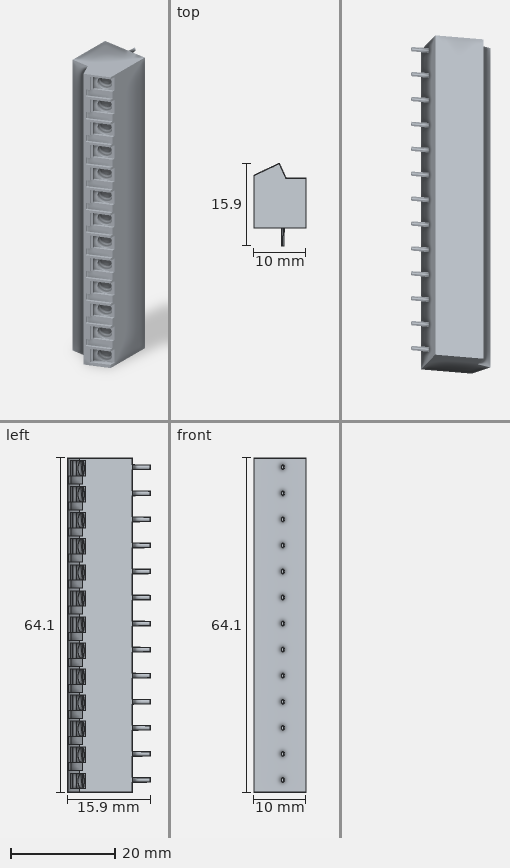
import cadquery as cq
import math

LENGTH = 64.1
WIDTH = 10.0
BODY_DEPTH = 12.45

SLOPE_START = 10.1
RIDGE_X = 4.9
SHOULDER_X = 6.15
SHOULDER_Y = 9.6

POLES = 13
PITCH = 5.0
FIRST_POLE_DROP = 1.7

PIN_LENGTH = 3.45
PIN_BACK_X = 5.25
PIN_WIDTH = 0.6
PIN_HEIGHT = 0.95
PIN_OPENING = 0.45
PIN_THICKNESS = 0.45
PIN_END_SCALE = 0.9
PIN_ROOT = 0.65

ENTRY_Z_OFFSET = -0.2
ENTRY_HEIGHT = 2.95
ENTRY_TOP = 4.0
ENTRY_STEP = 0.3
STEP_LENGTH = 0.4
ENTRY_DEPTH = 1.0
HOLE_DIAMETER = 2.9
HOLE_ALONG = 1.4
HOLE_DEPTH = 0.8
CORE_DIAMETER = 2.2
CORE_DEPTH = 0.65

RECESS_TOP = 4.95
RECESS_HEIGHT = 1.55
RECESS_DEPTH = 0.5
OVERRUN = 1.9

pole_heights = [LENGTH - FIRST_POLE_DROP - pole * PITCH for pole in range(POLES)]
slope_angle = math.degrees(math.atan2(BODY_DEPTH - SLOPE_START, RIDGE_X))


def make_body():
    """Block with a sloping entry face rising to a ridge, and a lower shoulder behind it."""
    outline = [
        (0, 0),
        (WIDTH, 0),
        (WIDTH, SHOULDER_Y),
        (SHOULDER_X, SHOULDER_Y),
        (RIDGE_X, BODY_DEPTH),
        (0, SLOPE_START),
    ]
    return cq.Workplane("XY").polyline(outline).close().extrude(LENGTH)


def place_on_slope(tool, z):
    """Turn a tool built with X along the slope and -Y into it, and set it at height z."""
    turned = tool.rotate((0, 0, 0), (0, 0, 1), slope_angle)
    return turned.translate((0, SLOPE_START, z))


def slope_pocket(top, depth, height):
    """Box open at the low edge of the slope, reaching up to 'top' along it."""
    box = cq.Workplane("XY").box(top + OVERRUN, depth + OVERRUN, height)
    return box.translate(((top - OVERRUN) / 2, (OVERRUN - depth) / 2, 0))


def slope_hole(diameter, depth):
    """Round hole square to the slope, 'depth' deep below its surface."""
    plane = cq.Workplane("XZ", origin=(HOLE_ALONG, 0, 0))
    return plane.circle(diameter / 2).extrude(depth)


def make_entry():
    """Stepped pocket with a round hole in its floor and a narrower hole below that."""
    hole_floor = ENTRY_DEPTH + HOLE_DEPTH
    entry = slope_pocket(ENTRY_TOP, ENTRY_STEP, ENTRY_HEIGHT)
    entry = entry.union(slope_pocket(ENTRY_TOP - STEP_LENGTH, ENTRY_DEPTH, ENTRY_HEIGHT))
    entry = entry.union(slope_hole(HOLE_DIAMETER, hole_floor))
    return entry.union(slope_hole(CORE_DIAMETER, hole_floor + CORE_DEPTH))


def pin_section(y, scale):
    """Curved strip in a plane of constant Y, shrunk towards the middle of its rounded back."""
    half_height = scale * PIN_HEIGHT / 2
    half_opening = scale * PIN_OPENING / 2
    shoulder_x = scale * PIN_WIDTH / 2
    edge_x = scale * PIN_WIDTH
    plane = cq.Workplane("XZ", origin=(PIN_BACK_X, y, 0))
    return (
        plane.moveTo(shoulder_x, half_height)
        .threePointArc((0, 0), (shoulder_x, -half_height))
        .lineTo(edge_x, -half_opening)
        .threePointArc((scale * PIN_THICKNESS, 0), (edge_x, half_opening))
        .close()
    )


def make_pin():
    """Curved strip pin that tapers evenly to its free end, with a straight root inside the body."""
    root = pin_section(PIN_ROOT, 1).extrude(PIN_ROOT)
    face_wire = pin_section(0, 1).wires().val()
    end_wire = pin_section(-PIN_LENGTH, PIN_END_SCALE).wires().val()
    blade = cq.Solid.makeLoft([face_wire, end_wire], True)
    return root.union(cq.Workplane(blade))


result = make_body()
entry = make_entry()
recess = slope_pocket(RECESS_TOP, RECESS_DEPTH, RECESS_HEIGHT)
pin = make_pin()
entry_heights = [z + ENTRY_Z_OFFSET for z in pole_heights]

for z in entry_heights:
    result = result.cut(place_on_slope(entry, z))

for z in entry_heights[:-1]:
    recess_z = z - (ENTRY_HEIGHT + RECESS_HEIGHT) / 2
    result = result.cut(place_on_slope(recess, recess_z))

for z in pole_heights:
    result = result.union(pin.translate((0, 0, z)))